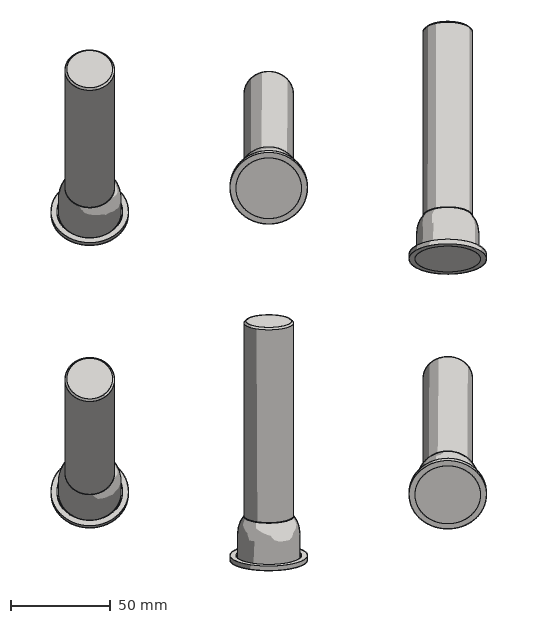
import cadquery as cq
import math

total_height = 125.0
shaft_radius = 25.0 / 2
tip_chamfer = 1.0

collar_radius = 31.5 / 2
collar_top = 13.75
shoulder_top = 22.85
step_radius = 25.1 / 2
shaft_bottom = 23.2

foot_radius = 33.0 / 2
foot_height = 1.25
ring_radius = 39.0 / 2
ring_thickness = 2.5


def shoulder_midpoint():
    """Middle of the shoulder arc, which leaves the collar tangentially and ends at the step."""
    rise = shoulder_top - collar_top
    inset = collar_radius - step_radius
    arc_radius = (inset**2 + rise**2) / (2 * inset)
    arc_center = collar_radius - arc_radius
    half_angle = math.asin(rise / arc_radius) / 2
    return (
        arc_center + arc_radius * math.cos(half_angle),
        collar_top + arc_radius * math.sin(half_angle),
    )


def make_pin():
    """Turned pin: foot, straight collar, rounded shoulder, shallow step and a chamfered shaft."""
    return (
        cq.Workplane("XZ")
        .lineTo(foot_radius, 0)
        .lineTo(foot_radius, foot_height)
        .lineTo(collar_radius, foot_height)
        .lineTo(collar_radius, collar_top)
        .threePointArc(shoulder_midpoint(), (step_radius, shoulder_top))
        .lineTo(step_radius, shaft_bottom)
        .lineTo(shaft_radius, shaft_bottom)
        .lineTo(shaft_radius, total_height - tip_chamfer)
        .lineTo(shaft_radius - tip_chamfer, total_height)
        .lineTo(0, total_height)
        .close()
        .revolve(360, (0, 0), (0, 1))
    )


def make_ring():
    """Flat ring whose bore fits the foot and leaves a gap around the collar above it."""
    return cq.Workplane("XY").circle(ring_radius).circle(foot_radius).extrude(ring_thickness)


pin = make_pin()
ring = make_ring()

result = cq.Compound.makeCompound([pin.val(), ring.val()])